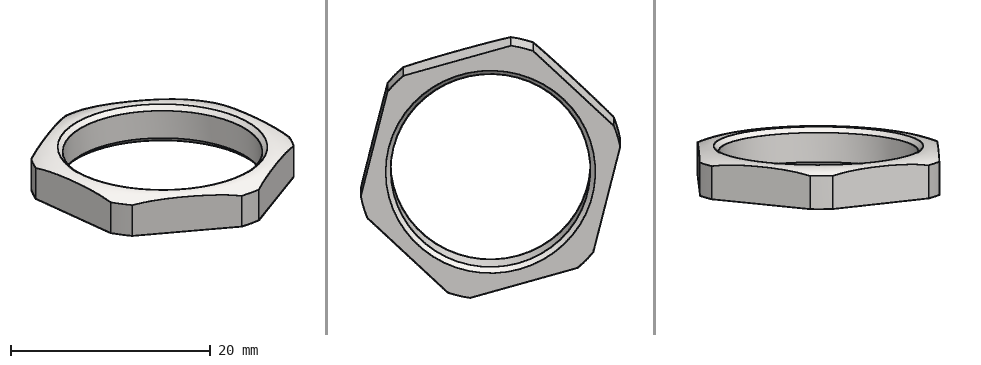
import cadquery as cq
import math

corner_diameter = 26.5
across_flats = 24.0
height = 4.0
bore_diameter = 20.0
chamfer_diameter = 21.0
crown_drop = 0.6

corner_radius = corner_diameter / 2
bore_radius = bore_diameter / 2
crest_radius = chamfer_diameter / 2
bore_chamfer = crest_radius - bore_radius
shoulder_height = height - crown_drop

crown_run = corner_radius - crest_radius
dome_radius = (crown_run**2 + crown_drop**2) / (2 * crown_drop)
half_sweep = math.asin(crown_run / dome_radius) / 2
arc_middle = (
    crest_radius + dome_radius * math.sin(half_sweep),
    height - dome_radius * (1 - math.cos(half_sweep)),
)


def ring_body():
    """Revolved ring with a domed top and a bore chamfered at both ends."""
    profile = (
        cq.Workplane("XZ")
        .moveTo(crest_radius, 0)
        .lineTo(corner_radius, 0)
        .lineTo(corner_radius, shoulder_height)
        .threePointArc(arc_middle, (crest_radius, height))
        .lineTo(bore_radius, height - bore_chamfer)
        .lineTo(bore_radius, bore_chamfer)
        .close()
    )
    return profile.revolve(360, (0, 0, 0), (0, 1, 0))


def hexagon_prism():
    """Hexagonal prism with two of its flats facing +X and -X."""
    across_corners = across_flats / math.cos(math.pi / 6)
    return (
        cq.Workplane("XY")
        .transformed(rotate=(0, 0, 30))
        .polygon(6, across_corners)
        .extrude(height)
    )


result = ring_body().intersect(hexagon_prism())